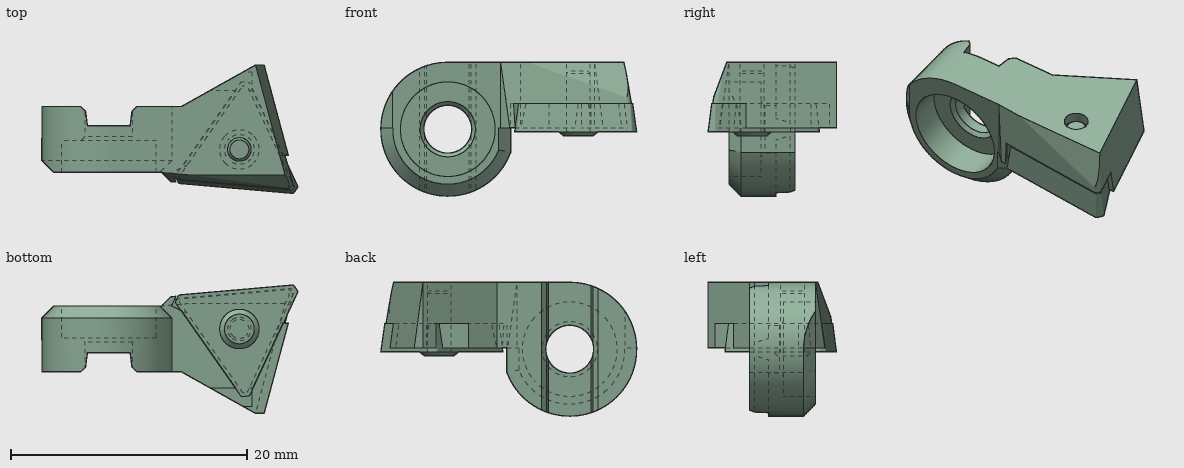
import cadquery as cq
import math

boss_radius = 5.68
boss_depth = 5.6
boss_right = 5.33
boss_chamfer = 1.02
bore_radius = 2.02
bore_chamfer = 0.33
counterbore_radius = 4.0
counterbore_depth = 2.7

slot_floor_y = 3.97
slot_floor_half = 1.8
slot_mouth_half = 1.95
slot_lip = 0.43

arm_top = boss_radius
arm_bottom = 0.1
arm_back = 9.1
flare_start_x = 6.15
flare_end_x = 12.42
step_x = 4.46
end_angle = 15.0
lead_angle = 5.0
relief_angle = 7.3
bevel_y = -0.2
bevel_angle = 20.5
nose_radius = 0.43
cutter_size = 86.68

insert_x = 11.05
insert_y = 1.85
insert_bottom = -0.22
insert_top = 2.19
insert_tip = 5.83
insert_tip_half = 0.35
insert_tip_round = 0.2
insert_relief = 7.0

rear_opening_y = (6.93, 8.5)
rear_opening_end = 12.14
end_opening_y = 1.45
tip_clearance = 0.15
tip_clearance_half = 0.75

screw_y = 1.95
screw_radius = 1.0
screw_end = 4.92
screw_end_chamfer = 0.2
screw_head_radius = 1.67
screw_head_tip_radius = 1.25
screw_head_height = 0.35


def cuboid(low, high):
    """Axis-aligned block between two opposite corners."""
    size = [b - a for a, b in zip(low, high)]
    return cq.Workplane("XY").box(*size, centered=False).translate(low)


def half_space(point, normal):
    """Large box on the side of a plane that its normal points to."""
    plane = cq.Plane(origin=point, xDir=cq.Vector(0, 0, 1).cross(cq.Vector(*normal)), normal=normal)
    return cq.Workplane(plane).rect(cutter_size, cutter_size).extrude(cutter_size)


def leaning_normal(direction, lean):
    """Unit vector at a plan direction, tilted upward by a lean angle (both in degrees)."""
    plan = math.radians(direction)
    tilt = math.radians(lean)
    return (math.cos(plan) * math.cos(tilt), math.sin(plan) * math.cos(tilt), math.sin(tilt))


def disc(radius, start_y, end_y):
    """Cylinder about the boss axis."""
    return cq.Workplane("XZ", origin=(0, start_y, 0)).circle(radius).extrude(start_y - end_y)


def make_boss():
    chamfered_disc = disc(boss_radius, 0, boss_depth).faces("<Y").chamfer(boss_chamfer)
    right_chamfer = half_space((boss_right - boss_chamfer, 0, 0), (1, -1, 0))
    right_flat = half_space((boss_right, 0, 0), (1, 0, 0))
    chamfered_disc = chamfered_disc.cut(right_chamfer).cut(right_flat)
    upper_left = (
        cuboid((-boss_radius, 0, arm_bottom), (0, boss_depth, boss_radius))
        .edges("|Z and <X and <Y")
        .chamfer(boss_chamfer)
        .intersect(disc(boss_radius, 0, boss_depth))
    )
    return chamfered_disc.union(upper_left)


def make_arm():
    reach = cutter_size / 4
    plan = [
        (step_x, 0),
        (step_x + reach, -reach),
        (reach + step_x, arm_back),
        (flare_end_x, arm_back),
        (flare_start_x, boss_depth),
        (step_x, boss_depth),
    ]
    arm = cq.Workplane("XY", origin=(0, 0, arm_bottom)).polyline(plan).close().extrude(arm_top - arm_bottom)
    front = half_space((step_x, 0, arm_top), leaning_normal(-90 - lead_angle, relief_angle))
    end = half_space((flare_end_x, arm_back, arm_top), leaning_normal(end_angle, relief_angle))
    bevel = half_space((0, bevel_y, arm_top), leaning_normal(-90, bevel_angle))
    arm = arm.cut(front).cut(end)
    nose = cq.selectors.NearestToPointSelector((cutter_size, -cutter_size, arm_top / 2))
    arm = arm.edges(nose).fillet(nose_radius)
    stem = cuboid((0, 0, arm_bottom), (step_x, boss_depth, arm_top))
    return arm.cut(bevel).union(stem)


def make_bore():
    floor = counterbore_depth
    cone = cq.Workplane("XY").polyline([
        (0, floor),
        (bore_radius + bore_chamfer, floor),
        (bore_radius, floor + bore_chamfer),
        (0, floor + bore_chamfer),
    ]).close().revolve(360, (0, 0, 0), (0, 1, 0))
    return disc(counterbore_radius, 0, floor).union(disc(bore_radius, 0, boss_depth)).union(cone)


def make_slot():
    lip_y = boss_depth - slot_lip
    right_side = [
        (slot_floor_half, slot_floor_y),
        (slot_mouth_half, lip_y),
        (slot_mouth_half + slot_lip, boss_depth),
    ]
    left_side = [(-x, y) for x, y in reversed(right_side)]
    return cq.Workplane("XY").polyline(right_side + left_side).close().extrude(boss_radius, both=True)


def make_insert_blank():
    corners = []
    for corner in range(3):
        angle = math.radians(90 - lead_angle + 120 * corner)
        for side in (-insert_tip_half, insert_tip_half):
            x = insert_tip * math.cos(angle) - side * math.sin(angle)
            y = insert_tip * math.sin(angle) + side * math.cos(angle)
            corners.append((x, y))
    blank = (
        cq.Workplane("XY", origin=(insert_x, insert_y, insert_bottom))
        .polyline(corners)
        .close()
        .extrude(insert_top - insert_bottom, taper=insert_relief)
    )
    return blank.edges("not #Z").fillet(insert_tip_round)


def make_pocket_openings():
    rear_front_y, rear_back_y = rear_opening_y
    rear = cuboid((0, rear_front_y, 0), (rear_opening_end, rear_back_y, insert_top))
    end = cuboid((insert_x, -arm_back, 0), (2 * insert_x, end_opening_y, insert_top))
    inner_corner = (
        cq.Workplane("XY")
        .rect(2 * (insert_tip + tip_clearance), 2 * tip_clearance_half)
        .extrude(insert_top)
        .intersect(half_space((0, 0, 0), (1, 0, 0)))
        .rotate((0, 0, 0), (0, 0, 1), 210 - lead_angle)
        .translate((insert_x, insert_y, 0))
    )
    return rear.union(end).union(inner_corner)


def make_screw():
    head_bottom = insert_bottom - screw_head_height
    profile = [
        (0, head_bottom),
        (screw_head_tip_radius, head_bottom),
        (screw_head_radius, insert_bottom),
        (screw_radius, insert_bottom),
        (screw_radius, screw_end - screw_end_chamfer),
        (screw_radius - screw_end_chamfer, screw_end),
        (0, screw_end),
    ]
    screw = cq.Workplane("XZ").polyline(profile).close().revolve(360, (0, 0, 0), (0, 1, 0))
    return screw.translate((insert_x, screw_y, 0))


insert_blank = make_insert_blank()
screw_hole = (
    cq.Workplane("XY", origin=(insert_x, screw_y, insert_bottom))
    .circle(screw_radius)
    .extrude(arm_top - insert_bottom)
)

holder = make_boss().union(make_arm()).cut(make_bore()).cut(make_slot())
holder = holder.cut(insert_blank).cut(make_pocket_openings()).cut(screw_hole)
insert = insert_blank.cut(screw_hole)
screw = make_screw()

result = cq.Compound.makeCompound([holder.val(), insert.val(), screw.val()])